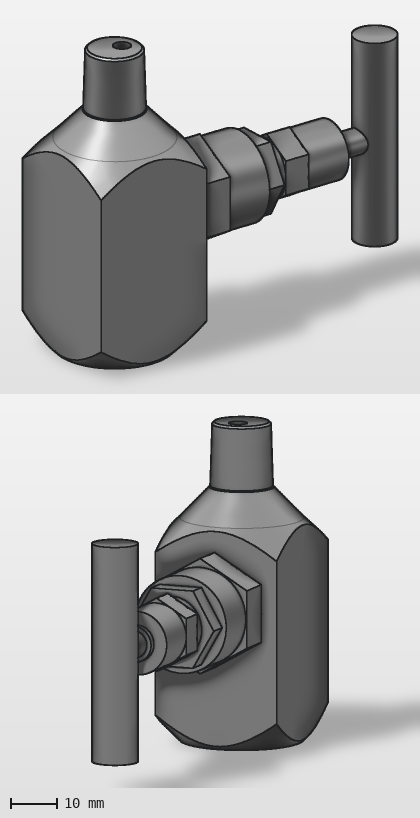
import cadquery as cq
import math


overall_height = 70.0
overall_depth = 89.53

block_side = 28.57
block_half = block_side / 2
block_corner_radius = block_half * math.sqrt(2)
base_radius = 13.45
shoulder_radius = 13.45
shoulder_height = 48.95
shoulder_drop_slope = 0.94
corner_height = shoulder_height - shoulder_drop_slope * (block_corner_radius - shoulder_radius)
base_corner_height = block_corner_radius - base_radius

spigot_base_height = 55.65
foot_taper_height = 0.3
neck_radius = 7.0
spigot_base_radius = 6.86
spigot_taper = 1 / 32
spigot_tip_chamfer = 0.5
tip_edge_height = overall_height - spigot_tip_chamfer
spigot_foot_height = spigot_base_height + foot_taper_height
tip_edge_radius = spigot_base_radius - spigot_taper * (tip_edge_height - spigot_foot_height)

bore_diameter = 4.0
bore_offset = 2.0

bonnet_axis_height = 31.0
gland_diameter = 21.5
gland_length = 19.6
gland_hex_flats = 22.0
gland_hex_start = 0.75
gland_hex_length = 8.0
lock_nut_flats = 17.0
lock_nut_length = 4.7
sleeve_diameter = 14.0
sleeve_length = 19.5
sleeve_hex_flats = sleeve_diameter
sleeve_hex_offset = 2.45
sleeve_hex_length = 6.2
collar_diameter = 8.0
collar_length = 1.6
stem_diameter = 6.0

handle_diameter = 10.0
handle_length = 48.0
handle_y = overall_depth - block_half - handle_diameter / 2

gland_start = block_half
lock_nut_start = gland_start + gland_length
sleeve_start = lock_nut_start + lock_nut_length
collar_start = sleeve_start + sleeve_length
stem_start = collar_start + collar_length


def make_valve_block():
    """Square bar trimmed by a turned profile, with the bore through it."""
    bar = cq.Workplane("XY").rect(block_side, block_side).extrude(overall_height)
    turned_envelope = (
        cq.Workplane("XZ")
        .moveTo(0, 0)
        .lineTo(base_radius, 0)
        .lineTo(block_corner_radius, base_corner_height)
        .lineTo(block_corner_radius, corner_height)
        .lineTo(shoulder_radius, shoulder_height)
        .lineTo(neck_radius, spigot_base_height)
        .lineTo(spigot_base_radius, spigot_foot_height)
        .lineTo(tip_edge_radius, tip_edge_height)
        .lineTo(tip_edge_radius - spigot_tip_chamfer, overall_height)
        .lineTo(0, overall_height)
        .close()
        .revolve(360, (0, 0), (0, 1))
    )
    bore = (
        cq.Workplane("XY")
        .center(0, bore_offset)
        .circle(bore_diameter / 2)
        .extrude(overall_height)
    )
    return bar.intersect(turned_envelope).cut(bore)


def bonnet_plane(start):
    """Plane facing +Y on the bonnet axis; its local x runs up along Z."""
    plane = cq.Plane(origin=(0, start, bonnet_axis_height), xDir=(0, 0, 1), normal=(0, 1, 0))
    return cq.Workplane(plane)


def round_section(start, length, diameter):
    return bonnet_plane(start).circle(diameter / 2).extrude(length)


def hex_section(start, length, across_flats, turn=0):
    """Hexagon with corners at top and bottom, then turned about the axis in degrees."""
    across_corners = across_flats / math.cos(math.radians(30))
    hexagon = bonnet_plane(start).polygon(6, across_corners).extrude(length)
    axis_start = (0, start, bonnet_axis_height)
    axis_end = (0, start + length, bonnet_axis_height)
    return hexagon.rotate(axis_start, axis_end, turn)


def make_bonnet():
    """Gland, lock nut, sleeve, stem and T-bar handle as one solid."""
    gland = round_section(gland_start, gland_length, gland_diameter)
    gland_hex = hex_section(gland_start + gland_hex_start, gland_hex_length, gland_hex_flats)
    lock_nut = hex_section(lock_nut_start, lock_nut_length, lock_nut_flats, turn=30)
    sleeve = round_section(sleeve_start, sleeve_length, sleeve_diameter)
    sleeve_hex = hex_section(sleeve_start + sleeve_hex_offset, sleeve_hex_length, sleeve_hex_flats)
    collar = round_section(collar_start, collar_length, collar_diameter)
    stem = round_section(stem_start, handle_y - stem_start, stem_diameter)
    handle = (
        cq.Workplane("XY", origin=(0, handle_y, bonnet_axis_height))
        .circle(handle_diameter / 2)
        .extrude(handle_length / 2, both=True)
    )
    bonnet = gland
    for section in (gland_hex, lock_nut, sleeve, sleeve_hex, collar, stem, handle):
        bonnet = bonnet.union(section)
    return bonnet


valve_block = make_valve_block()
bonnet = make_bonnet()

result = cq.Compound.makeCompound([*valve_block.solids().vals(), *bonnet.solids().vals()])